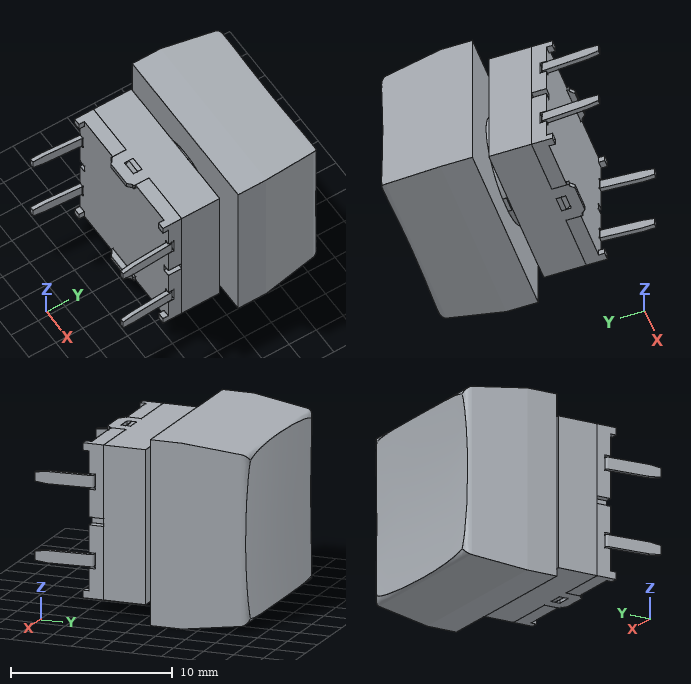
import cadquery as cq


seam_y = 0.99
housing_top_y = 3.79
cap_bottom_y = 4.5
cap_shoulder_y = 6.59
cap_top_y = 10.8
feet_y = -0.4
pin_tip_y = -3.5

cap_width = 11.98
cap_top_width = 10.97
cap_edge_radius = 0.5
dish_radius = 60.06
dish_depth = 0.43

plunger_diameter = 7.0
plunger_flat_width = 1.0
plunger_flat_length = 0.26
plunger_flat_z = 3.46

body_width = 10.0
half_body = body_width / 2
tab_width = 2.57
tab_thickness = 0.33
tab_shoulder_y = -0.13
tab_nose_width = 2.32
tab_nose_chamfer = tab_shoulder_y - feet_y
latch_width = 1.0
latch_length = 0.63
latch_ramp_length = latch_length / 2
corner_size = 0.5

pin_z = 2.55
pin_width = 0.8
pin_tip_width = 0.6
pin_taper_length = 0.8
pin_thickness = 0.3
pin_tip_x = 5.25
pin_bend_x = 5.02
pin_bend_radius = 0.1
pin_recess_width = 1.0
pin_recess_height = 0.43
pin_recess_depth = 0.33


def block(x_size, y_low, y_high, z_size, x=0.0, z=0.0):
    """Box centred at (x, z) that reaches from y_low to y_high."""
    return cq.Workplane("XY").box(x_size, y_high - y_low, z_size).translate((x, (y_low + y_high) / 2, z))


def make_cap():
    """Square cap: straight skirt, tapered upper part, rounded top edge and a spherical dish."""
    skirt = block(cap_width, cap_bottom_y, cap_shoulder_y, cap_width)
    taper = (
        cq.Workplane("XZ", origin=(0, cap_shoulder_y, 0))
        .rect(cap_width, cap_width)
        .workplane(offset=cap_shoulder_y - cap_top_y)
        .rect(cap_top_width, cap_top_width)
        .loft(ruled=True)
        .faces(">Y")
        .edges()
        .fillet(cap_edge_radius)
    )
    dish = cq.Workplane("XY").sphere(dish_radius).translate((0, cap_top_y - dish_depth + dish_radius, 0))
    return skirt.union(taper).cut(dish)


def make_plunger():
    """Round plunger between housing and cap, with a shallow flat above and below."""
    plunger = (
        cq.Workplane("XZ", origin=(0, housing_top_y, 0))
        .circle(plunger_diameter / 2)
        .extrude(housing_top_y - cap_bottom_y)
    )
    flat_low_y = cap_bottom_y - plunger_flat_length
    for side in (-1, 1):
        flat_z = side * (plunger_flat_z + plunger_diameter / 2)
        plunger = plunger.cut(
            block(plunger_flat_width, flat_low_y, cap_bottom_y, plunger_diameter, z=flat_z)
        )
    return plunger


def make_tab(side):
    """Housing tab on one Z side, with a chamfered nose and a window for the latch."""
    half_nose = tab_nose_width / 2
    half_tip = half_nose - tab_nose_chamfer
    tab = (
        cq.Workplane("XY")
        .moveTo(-tab_width / 2, seam_y)
        .lineTo(-tab_width / 2, tab_shoulder_y)
        .lineTo(-half_nose, tab_shoulder_y)
        .lineTo(-half_tip, feet_y)
        .lineTo(half_tip, feet_y)
        .lineTo(half_nose, tab_shoulder_y)
        .lineTo(tab_width / 2, tab_shoulder_y)
        .lineTo(tab_width / 2, seam_y)
        .close()
        .extrude(tab_thickness)
        .translate((0, 0, half_body - tab_thickness))
        .cut(block(latch_width, seam_y - latch_length, seam_y, body_width))
    )
    return tab if side > 0 else tab.mirror("XY")


def make_housing():
    """Square housing with a snap tab on the +Z and -Z sides."""
    housing = block(body_width, seam_y, housing_top_y, body_width)
    for side in (-1, 1):
        housing = housing.union(make_tab(side))
    return housing


def make_latch(side):
    """Latch nub on one Z side: flush with the tab, then a ramp down towards -Y."""
    floor_z = half_body - tab_thickness
    latch = (
        cq.Workplane("YZ", origin=(-latch_width / 2, 0, 0))
        .moveTo(seam_y, floor_z)
        .lineTo(seam_y, half_body)
        .lineTo(seam_y - latch_length + latch_ramp_length, half_body)
        .lineTo(seam_y - latch_length, floor_z)
        .close()
        .extrude(latch_width)
    )
    return latch if side > 0 else latch.mirror("XY")


def make_base():
    """Square base plate with corner feet, tab slots with latches, side notches and pin recesses."""
    base = block(body_width, 0, seam_y, body_width)
    corner_place = half_body - corner_size / 2
    for x_side in (-1, 1):
        for z_side in (-1, 1):
            foot_x = x_side * corner_place
            foot_z = z_side * corner_place
            base = base.union(block(corner_size, feet_y, seam_y, corner_size, foot_x, foot_z))

            recess_x = x_side * (half_body - pin_recess_depth / 2)
            recess_z = z_side * pin_z
            base = base.cut(
                block(pin_recess_depth, 0, pin_recess_height, pin_recess_width, recess_x, recess_z)
            )
        base = base.cut(block(corner_size, 0, seam_y, corner_size, x_side * corner_place))

    for side in (-1, 1):
        slot_z = side * (half_body - tab_thickness / 2)
        base = base.cut(block(tab_width, 0, seam_y, tab_thickness, z=slot_z))
        base = base.union(make_latch(side))
    return base


def make_pin(x_side, z):
    """Flat pin that leaves the recess wall, bends towards -Y and leans outwards to a tapered tip."""
    lean = (pin_tip_x - pin_bend_x) / (pin_thickness - pin_tip_y)
    wall_x = half_body - pin_recess_depth
    inner_bend_x = pin_tip_x - pin_thickness + lean * pin_tip_y
    leg = (
        cq.Workplane("XY")
        .moveTo(wall_x, 0)
        .lineTo(wall_x, pin_thickness)
        .lineTo(pin_bend_x, pin_thickness)
        .lineTo(pin_tip_x, pin_tip_y)
        .lineTo(pin_tip_x - pin_thickness, pin_tip_y)
        .lineTo(inner_bend_x, 0)
        .close()
        .extrude(pin_width / 2, both=True)
        .edges("|Z and >Y")
        .edges(">X")
        .fillet(pin_bend_radius)
    )
    taper_y = pin_tip_y + pin_taper_length
    outline = (
        cq.Workplane("YZ")
        .moveTo(pin_thickness, pin_width / 2)
        .lineTo(taper_y, pin_width / 2)
        .lineTo(pin_tip_y, pin_tip_width / 2)
        .lineTo(pin_tip_y, -pin_tip_width / 2)
        .lineTo(taper_y, -pin_width / 2)
        .lineTo(pin_thickness, -pin_width / 2)
        .close()
        .extrude(pin_tip_x)
    )
    pin = leg.intersect(outline)
    if x_side < 0:
        pin = pin.mirror("YZ")
    return pin.translate((0, 0, z))


cap = make_cap()
plunger = make_plunger()
housing = make_housing()
base = make_base()
pins = [make_pin(x_side, z_side * pin_z) for x_side in (-1, 1) for z_side in (-1, 1)]

result = cq.Compound.makeCompound(
    [cap.val(), plunger.val(), housing.val(), base.val(), *[pin.val() for pin in pins]]
)